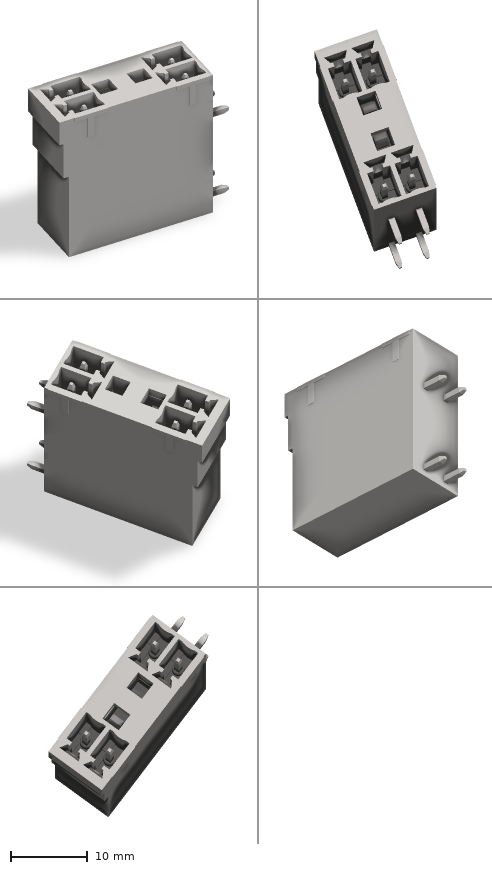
import cadquery as cq


width = 8.65
height = 22.0
depth_top = 22.65
step_back = 0.63
step_back_low = 1.41
flange_height = 3.65
middle_bottom_drop = 9.15

column_pitch = 3.8
row_pitch = 14.95
first_row = 2.75
exit_drop = 8.0
exit_pitch = 12.7
columns = [-column_pitch / 2, column_pitch / 2]
rows = [0, 1]

pin_size = 0.8
pin_tip_size = 0.42
pin_tip_length = 0.79
pin_tip_drop = 0.47
pin_reach = 3.55

cavity_width = 3.17
cavity_depth = 6.3
cavity_back = 2.2
cavity_front = 2.15
back_strip = 0.55
back_bulge = 0.18
neck_width = 1.35
neck_front = 2.7
floor_groove_depth = 0.25
cross_groove = 1.0
dovetail_narrow = 1.96
dovetail_front = 3.7
dovetail_depth = flange_height
collar_diameter = 1.68
collar_rounding = 0.24
collar_height = 0.79

rib_height = 0.08
rib_bar_length = 4.9
rib_bar_back = 2.2
rib_bar_drop = 0.63
rib_stem_width = 1.0
rib_stem_offset = 0.3
rib_stem_drop = 3.7

bridge_height = 1.41
back_window_depth = 3.15
back_window = (7.25, 9.8)
front_window = (12.4, 14.95)
back_window_width = 2.5
front_window_width = 2.62
shaft_width = 2.45
shaft_back = 7.34
shaft_front = front_window[1]
shaft_depth = 5.25
seat_step = 0.25

retainer_back = 9.07
hook_width = 1.73
hook_drop = 2.62
hook_thickness = 0.75
hook_overhang = 0.79
hook_ramp = 1.05
hook_lip = 0.4
back_hook_tip = 8.44
front_hook_tip = 14.7


def block(x_range, y_range, z_range):
    """Box between the given limits."""
    size = [limits[1] - limits[0] for limits in (x_range, y_range, z_range)]
    corner = (x_range[0], y_range[0], z_range[0])
    return cq.Workplane("XY").box(*size, centered=False).translate(corner)


def centred(size, middle=0.0):
    """Limits of a length around its middle."""
    return (middle - size / 2, middle + size / 2)


def row_y(row):
    return -(first_row + row * row_pitch)


def make_tip(plane):
    """Square frustum that tapers along the normal of the plane."""
    return (
        cq.Workplane(plane)
        .rect(pin_size, pin_size)
        .workplane(offset=pin_tip_length)
        .rect(pin_tip_size, pin_tip_size)
        .loft(combine=True)
    )


def make_pin(x, row):
    """Right-angled square pin with two tapered ends."""
    y = row_y(row)
    exit_z = height - exit_drop - row * exit_pitch
    contact_end = height - pin_tip_drop - pin_tip_length
    solder_end = pin_reach - pin_tip_length
    x_range = centred(pin_size, x)
    contact_leg = block(x_range, centred(pin_size, y), (exit_z - pin_size / 2, contact_end))
    solder_leg = block(x_range, (y - pin_size / 2, solder_end), centred(pin_size, exit_z))
    contact_plane = cq.Plane((x, y, contact_end), xDir=(1, 0, 0), normal=(0, 0, 1))
    solder_plane = cq.Plane((x, solder_end, exit_z), xDir=(1, 0, 0), normal=(0, 1, 0))
    return contact_leg.union(solder_leg).union(make_tip(contact_plane)).union(make_tip(solder_plane))


def make_hook(tip, outward):
    """Snap arm on the retainer; its ramp faces +Y (outward = 1) or -Y (outward = -1)."""
    top = height - hook_drop
    foot = height - shaft_depth
    tip_y = -tip
    face_y = tip_y - outward * hook_overhang
    inner_y = face_y - outward * hook_thickness
    lip_top = top - hook_ramp
    lip_bottom = lip_top - hook_lip
    profile = [
        (inner_y, foot), (inner_y, top), (face_y, top), (tip_y, lip_top),
        (tip_y, lip_bottom), (face_y, lip_bottom), (face_y, foot),
    ]
    return cq.Workplane("YZ").polyline(profile).close().extrude(hook_width / 2, both=True)


def make_retainer_base():
    return block(centred(shaft_width), (-shaft_front, -retainer_back), (0, height - shaft_depth))


def make_retainer():
    """Core block pushed in from below, with two outward snap hooks."""
    hooks = make_hook(back_hook_tip, 1).union(make_hook(front_hook_tip, -1))
    return make_retainer_base().union(hooks)


def make_shell():
    """Stepped outer block of the housing."""
    profile = [
        (0, 0), (0, height), (-depth_top, height),
        (-depth_top, height - flange_height),
        (-depth_top + step_back, height - flange_height),
        (-depth_top + step_back, height - middle_bottom_drop),
        (-depth_top + step_back_low, height - middle_bottom_drop),
        (-depth_top + step_back_low, 0),
    ]
    return cq.Workplane("YZ").polyline(profile).close().extrude(width / 2, both=True)


def make_side_ribs(row):
    """T-shaped rib on both side walls, as one plate passing through the housing."""
    x_range = centred(width + 2 * rib_height)
    back = row_y(row) + rib_bar_back
    bar = block(x_range, (back - rib_bar_length, back), (height - rib_bar_drop, height))
    stem_range = centred(rib_stem_width, row_y(row) - rib_stem_offset)
    stem = block(x_range, stem_range, (height - rib_stem_drop, height))
    return bar.union(stem)


def make_cavity_prism(depth):
    """Prism of the plug opening, whose back wall bulges inwards between two flat strips."""
    half = cavity_width / 2
    bulge_end = half - back_strip
    return (
        cq.Workplane("XY")
        .moveTo(-half, -cavity_front)
        .lineTo(-half, cavity_back)
        .lineTo(-bulge_end, cavity_back)
        .threePointArc((0, cavity_back - back_bulge), (bulge_end, cavity_back))
        .lineTo(half, cavity_back)
        .lineTo(half, -cavity_front)
        .close()
        .extrude(depth)
        .translate((0, 0, height - depth))
    )


def make_cavity(x, row):
    """Plug cavity with a dovetail keyway, a cross-shaped floor groove and a collar around the pin."""
    total_depth = cavity_depth + floor_groove_depth
    z_range = (height - total_depth, height)
    cross = block(centred(neck_width), (-cavity_front, cavity_back), z_range)
    cross = cross.union(block(centred(cavity_width), centred(cross_groove), z_range))
    floor_groove = make_cavity_prism(total_depth).intersect(cross)
    neck = block(centred(neck_width), (-neck_front, -cavity_front), z_range)
    dovetail = (
        cq.Workplane("XY")
        .polyline([
            (-dovetail_narrow / 2, -neck_front), (dovetail_narrow / 2, -neck_front),
            (cavity_width / 2, -dovetail_front), (-cavity_width / 2, -dovetail_front),
        ])
        .close()
        .extrude(dovetail_depth)
        .translate((0, 0, height - dovetail_depth))
    )
    collar = (
        cq.Workplane("XY")
        .circle(collar_diameter / 2)
        .extrude(collar_height)
        .faces(">Z")
        .edges()
        .fillet(collar_rounding)
        .translate((0, 0, height - total_depth))
    )
    opening = make_cavity_prism(cavity_depth).union(neck).union(dovetail)
    cavity = opening.union(floor_groove).cut(collar)
    return cavity.translate((x, row_y(row), 0))


def make_retainer_space():
    """Two windows in the top, the shaft that joins them under a bridge, and the retainer's seat."""
    back_z = (height - back_window_depth, height)
    front_z = (height - bridge_height, height)
    shaft_z = (height - shaft_depth - seat_step, height - bridge_height)
    back = block(centred(back_window_width), (-back_window[1], -back_window[0]), back_z)
    front = block(centred(front_window_width), (-front_window[1], -front_window[0]), front_z)
    shaft = block(centred(shaft_width), (-shaft_front, -shaft_back), shaft_z)
    return back.union(front).union(shaft).union(make_retainer_base())


def make_housing(pins):
    housing = make_shell()
    for row in rows:
        housing = housing.union(make_side_ribs(row))
    for row in rows:
        for x in columns:
            housing = housing.cut(make_cavity(x, row))
    housing = housing.cut(make_retainer_space())
    for pin in pins:
        housing = housing.cut(pin)
    return housing


pins = [make_pin(x, row) for row in rows for x in columns]
retainer = make_retainer()
housing = make_housing(pins)

result = cq.Compound.makeCompound([housing.solids().val(), retainer.val(), *[pin.val() for pin in pins]])